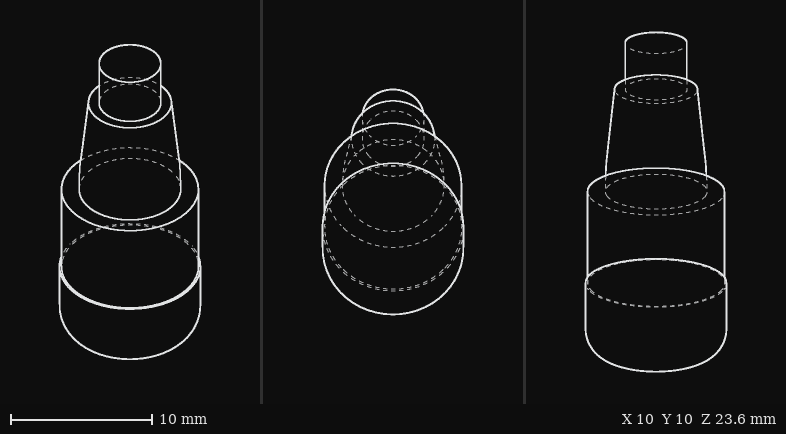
import cadquery as cq

total_height = 23.6
collar_top = 5.5
barrel_top = 12.4
neck_top = 14.5
taper_top = 20.1

collar_diameter = 10.0
barrel_diameter = 9.72
neck_diameter = 7.22
taper_base_diameter = 7.08
taper_top_diameter = 5.9
cable_diameter = 4.4

base_rounding = 2.0

neck_bow = (neck_diameter - taper_base_diameter) / 8


def cylinder(diameter, bottom, top):
    """Upright cylinder on the Z axis between two heights."""
    return cq.Workplane("XY").workplane(offset=bottom).circle(diameter / 2).extrude(top - bottom)


def make_housing():
    """Barrel with a slightly wider, round-edged collar at its base."""
    collar = cylinder(collar_diameter, 0, collar_top).faces("<Z").edges().fillet(base_rounding)
    barrel = cylinder(barrel_diameter, collar_top, barrel_top)
    return collar.union(barrel)


def make_cable_end():
    """Bowed neck, tapered sleeve and cable stub standing on the housing, as one turned profile."""
    profile = (
        cq.Workplane("XZ").moveTo(0, barrel_top)
        .lineTo(neck_diameter / 2, barrel_top)
        .sagittaArc((taper_base_diameter / 2, neck_top), -neck_bow)
        .lineTo(taper_top_diameter / 2, taper_top)
        .lineTo(cable_diameter / 2, taper_top)
        .lineTo(cable_diameter / 2, total_height)
        .lineTo(0, total_height)
        .close()
    )
    return profile.revolve(360, (0, 0), (0, 1))


housing = make_housing()
cable_end = make_cable_end()

result = cq.Compound.makeCompound([housing.val(), cable_end.val()])